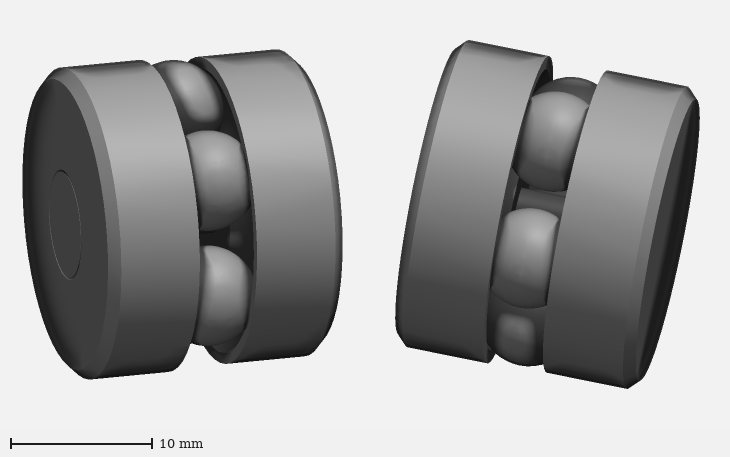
import cadquery as cq
import math


total_width = 17.45
washer_gap = 4.3
front_diameter = 22.23
rear_diameter = 21.87
rim_chamfer = 0.75

ball_count = 5
ball_diameter = 7.14
pitch_radius = 7.31

shank_diameter = 3.18
clearance_diameter = 3.42
head_diameter = 7.58
countersink_diameter = 7.87
cone_angle = 90.0

ball_radius = ball_diameter / 2
face_y = total_width / 2
inner_y = washer_gap / 2
washer_thickness = face_y - inner_y


def y_cylinder(diameter, start_y, length):
    """Cylinder about the Y axis that runs from start_y toward +Y."""
    return cq.Workplane(cq.Solid.makeCylinder(
        diameter / 2, length, cq.Vector(0, start_y, 0), cq.Vector(0, 1, 0)))


def y_cone(large_diameter, small_diameter):
    """Cone that narrows toward +Y, with its large end on the front face."""
    depth = (large_diameter - small_diameter) / 2 / math.tan(math.radians(cone_angle / 2))
    return cq.Workplane(cq.Solid.makeCone(
        large_diameter / 2, small_diameter / 2, depth,
        cq.Vector(0, -face_y, 0), cq.Vector(0, 1, 0)))


def make_race():
    """Ring swept by the balls, which cuts the groove in each washer."""
    return cq.Workplane(cq.Solid.makeTorus(
        pitch_radius, ball_radius, cq.Vector(0, 0, 0), cq.Vector(0, 1, 0)))


def make_front_washer():
    """Washer with a clearance hole and a countersink for the screw head."""
    washer = y_cylinder(front_diameter, -face_y, washer_thickness)
    washer = washer.faces("<Y").edges().chamfer(rim_chamfer)
    washer = washer.cut(y_cylinder(clearance_diameter, -face_y, washer_thickness))
    washer = washer.cut(y_cone(countersink_diameter, clearance_diameter))
    return washer.cut(make_race())


def make_rear_washer():
    """Washer with a hole that holds the screw shank."""
    washer = y_cylinder(rear_diameter, inner_y, washer_thickness)
    washer = washer.faces(">Y").edges().chamfer(rim_chamfer)
    washer = washer.cut(y_cylinder(shank_diameter, inner_y, washer_thickness))
    return washer.cut(make_race())


def make_screw():
    """Flat-head screw, flush with both outer faces."""
    shank = y_cylinder(shank_diameter, -face_y, total_width)
    return shank.union(y_cone(head_diameter, shank_diameter))


def make_ball(angle):
    """Ball on the pitch circle, at an angle in degrees from +X toward +Z."""
    x = pitch_radius * math.cos(math.radians(angle))
    z = pitch_radius * math.sin(math.radians(angle))
    return cq.Workplane("XY").sphere(ball_radius).translate((x, 0, z))


front_washer = make_front_washer()
rear_washer = make_rear_washer()
screw = make_screw()

balls = []
for index in range(ball_count):
    ball = make_ball(180 + index * 360 / ball_count)
    balls.append(ball.val())

result = cq.Compound.makeCompound([
    front_washer.solids().val(),
    rear_washer.solids().val(),
    screw.solids().val(),
    *balls,
])